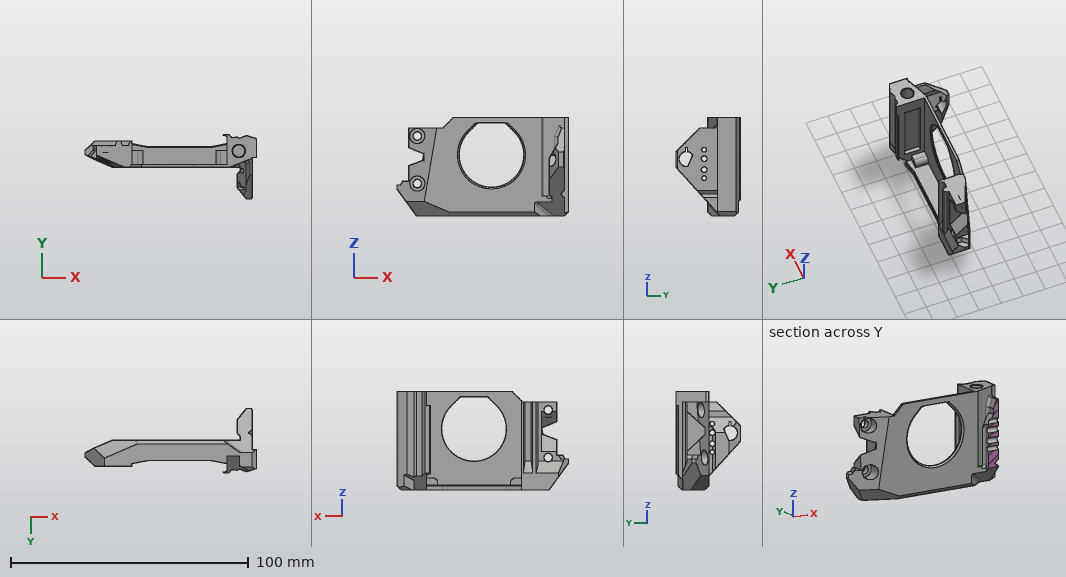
import cadquery as cq
import math

length = 72.3
height = 41.6
plate_thickness = 1.15
bottom_chamfer = 1.7
far = 144.6

mount_top = 37.1
mount_right = 19.8
mount_rear = 11.05
toe_bottom = 8.25
mount_left = 5.0
rear_step = 9.1
toe_height = 14.7
toe_rear_start = 7.1
toe_rear_bevel = 4.3
mount_slope = 0.43
fold_base = 10.5
fold_lean = 0.17
corner_fold = (21.8, 0.0, bottom_chamfer)
corner_fold_z = 6.15

screw_x = 8.6
screw_heights = (13.65, 33.7)
screw_diameter = 3.5
counterbore_diameter = 6.35
counterbore_floor = 6.15

window_x = 39.8
window_z = 25.7
window_radius = 13.6
window_bevel = 0.7
window_top = 39.2

hinge_left = 59.8
hinge_front = 4.05
ramp_start = 61.1
step_x = 70.5
ramp_rear = 3.8
ramp_bottom = 8.45
hinge_rear = 13.9
lip_top = 35.6
lip_bottom = 7.15

fin_reach = 13.4
fin_top = 37.1
fin_thick_top = 24.3
groove_x = 64.2
groove_y = 0.0
groove_radius = 1.15
groove_top = 27.5
fin_thick_left = 64.05
underside_z = 5.85
underside_slope = 1.1


def outline_xz(points, y_start, y_end):
    """Prism with an X-Z outline between two Y positions."""
    return cq.Workplane("XZ", origin=(0, y_start, 0)).polyline(points).close().extrude(y_start - y_end)


def outline_xy(points, z_start, z_end):
    """Prism with an X-Y outline between two Z positions."""
    return cq.Workplane("XY", origin=(0, 0, z_start)).polyline(points).close().extrude(z_end - z_start)


def outline_yz(points, x_start, x_end):
    """Prism with a Y-Z outline between two X positions."""
    return cq.Workplane("YZ", origin=(x_start, 0, 0)).polyline(points).close().extrude(x_end - x_start)


def box(x_range, y_range, z_range):
    """Axis-aligned block from its three ranges."""
    sizes = [b - a for a, b in (x_range, y_range, z_range)]
    corner = (x_range[0], y_range[0], z_range[0])
    return cq.Workplane("XY", origin=corner).box(*sizes, centered=False)


def half_space(p, q, r):
    """Large block on the side of plane p-q-r that (q - p) x (r - p) points to."""
    a = cq.Vector(*q) - cq.Vector(*p)
    b = cq.Vector(*r) - cq.Vector(*p)
    plane = cq.Plane(origin=p, xDir=a.toTuple(), normal=a.cross(b).toTuple())
    return cq.Workplane(plane).rect(far, far).extrude(far)


def cylinder_y(x, z, diameter, y_start, y_end):
    """Round bar along Y."""
    return cq.Workplane("XZ", origin=(x, y_start, z)).circle(diameter / 2).extrude(y_start - y_end)


def fold_x(z):
    return fold_base + fold_lean * z


def make_plate():
    shoulder_x = 19.4
    outline = [
        (shoulder_x, 0), (length, 0), (length, height),
        (shoulder_x + height - mount_top, height), (shoulder_x, mount_top),
    ]
    return outline_xz(outline, 0, plate_thickness)


def teardrop(radius):
    """Round window with 45 degree sides rising to a flat top."""
    tangent = radius * math.sqrt(0.5)
    flat = radius * math.sqrt(2) - (window_top - window_z)
    return (
        cq.Workplane("XZ", origin=(window_x, 0, window_z))
        .moveTo(tangent, tangent)
        .lineTo(flat, window_top - window_z)
        .lineTo(-flat, window_top - window_z)
        .lineTo(-tangent, tangent)
        .threePointArc((0, -radius), (tangent, tangent))
        .close()
    )


def make_window():
    through = teardrop(window_radius).extrude(-plate_thickness)
    flare = teardrop(window_radius + window_bevel).extrude(-window_bevel, taper=45)
    top_limit = box((0, length), (0, plate_thickness), (0, window_top))
    return through.union(flare.intersect(top_limit))


def make_floor():
    floor_thickness = 2.2
    floor_rear = 8.7
    end_rear = 10.0
    rear_bevel = 0.35
    taper_length = 6.65
    outline = [
        (mount_right, 0), (hinge_left, 0), (hinge_left, end_rear), (hinge_left - taper_length, floor_rear),
        (mount_right + taper_length, floor_rear), (mount_right, end_rear),
    ]
    floor = outline_xy(outline, 0, floor_thickness)
    rear_edges = cq.selectors.BoxSelector(
        (mount_right + 0.7, floor_rear - 0.1, floor_thickness - 0.1),
        (hinge_left - 0.7, end_rear, floor_thickness + 0.1),
    )
    floor = floor.edges(rear_edges).chamfer(rear_bevel)
    pad_length = 4.7
    pad_radius = 2.1
    pad_height = 5.05
    pad_rear = 7.1
    left = box((mount_right, mount_right + pad_length), (0, pad_rear), (0, pad_height))
    right = box((hinge_left - pad_length, hinge_left), (0, pad_rear), (0, pad_height))
    left = left.edges(">X and >Z").fillet(pad_radius)
    right = right.edges("<X and >Z").fillet(pad_radius)
    return floor.union(left).union(right)


def make_mount():
    side = [
        (toe_bottom, 0), (mount_right, 0), (mount_right, mount_top), (mount_left, mount_top),
        (mount_left, toe_height), (0, toe_height), (0, 11.35),
    ]
    block = outline_xz(side, 0, mount_rear)
    corner = [(0, toe_rear_start), (toe_rear_bevel, mount_rear), (0, mount_rear)]
    block = block.cut(outline_xy(corner, 0, mount_top))

    shelf_z = 13.15
    shelf_lean = 34.0
    shelf_plan = [(1.3, 4.7), (3.3, 7.2), (3.3, far), (-far, far), (-far, -far), (1.3, -far)]
    shelf = cq.Workplane("XY", origin=(0, 0, shelf_z)).polyline(shelf_plan).close()
    block = block.cut(shelf.extrude(toe_height - shelf_z, taper=-shelf_lean))

    recess_section = [
        (rear_step, mount_top), (rear_step, 12.3), (mount_rear, 7.2), (mount_rear, mount_top),
    ]
    thin_plan = [(0, rear_step), (12.95, rear_step), (12.95, 9.8), (13.65, mount_rear), (0, mount_rear)]
    pocket_plan = [(15.75, rear_step), (18.35, rear_step), (19.1, mount_rear), (15.1, mount_rear)]
    recess = outline_yz(recess_section, 0, mount_right)
    for plan in (thin_plan, pocket_plan):
        block = block.cut(recess.intersect(outline_xy(plan, 0, mount_top)))

    notch_floor = 11.4
    notch = [
        (1.6, 26.2), (rear_step, 33.0), (mount_rear, 33.0),
        (mount_rear, 16.3), (rear_step, 16.3), (1.6, 23.4),
    ]
    block = block.cut(outline_yz(notch, 0, notch_floor))

    for z in screw_heights:
        block = block.cut(cylinder_y(screw_x, z, screw_diameter, 0, mount_rear))
        block = block.cut(cylinder_y(screw_x, z, counterbore_diameter, 0, counterbore_floor))
    return block


def make_left_facets():
    """Material removed in front of the leaning left face and below the lower corner facet."""
    fold_low = (fold_x(corner_fold_z), 0, corner_fold_z)
    fold_high = (fold_x(mount_top), 0, mount_top)
    left_low = (0, fold_low[0] * mount_slope, corner_fold_z)
    leaning = half_space(fold_low, fold_high, left_low)
    lower = half_space(fold_low, left_low, corner_fold)
    return leaning, lower


def make_hinge():
    plan = [
        (hinge_left, 0), (length, 0), (length, 11.9), (71.8, 12.2), (68.0, 13.4), (65.1, 12.3),
        (64.05, 12.7), (61.8, 12.5), (hinge_left + 0.7, hinge_rear), (hinge_left, hinge_rear),
    ]
    block = outline_xy(plan, 0, height)
    lip_plan = [(58.1, 13.45), (58.85, 13.45), (hinge_left, 12.9), (hinge_left, hinge_rear), (58.5, hinge_rear)]
    block = block.union(outline_xy(lip_plan, 0, lip_top))

    bevel_plan = [
        (0, 0), (65.1, 0), (65.1, 10.85), (69.2, 13.0), (69.2, hinge_rear), (0, hinge_rear),
    ]
    lip_bevel = [(hinge_rear, lip_bottom), (hinge_rear, 0), (hinge_rear - lip_bottom, 0)]
    block = block.cut(outline_yz(lip_bevel, 0, length).intersect(outline_xy(bevel_plan, 0, lip_bottom)))
    edge_y = 13.1
    edge_z = 1.8
    rear_bevel = [(edge_y, edge_z), (hinge_rear, edge_z), (hinge_rear, 0), (edge_y - edge_z, 0)]
    block = block.cut(outline_yz(rear_bevel, 0, length))
    corner_bevel = 1.9
    corner = [(length, 0), (length, corner_bevel), (length - corner_bevel, 0)]
    block = block.cut(outline_xz(corner, 0, hinge_rear))

    recess_depth = 1.7
    recess_front = 2.9
    recess_back = 10.05
    recess_x = (hinge_left, hinge_left + recess_depth)
    block = block.cut(box(recess_x, (recess_front, recess_back), (lip_bottom, lip_top)))

    bore_x = 64.8
    bore_y = 6.9
    bore_radius = 2.5
    bore_depth = 8.7
    bore_bevel = 0.3
    bore = (
        cq.Workplane("XZ", origin=(bore_x, bore_y, height))
        .polyline([
            (0, 0), (bore_radius + bore_bevel, 0), (bore_radius, -bore_bevel),
            (bore_radius, -bore_depth), (0, -bore_depth),
        ])
        .close()
        .revolve(360, (0, 0), (0, 1))
    )
    return block.cut(bore)


def make_front_ramp():
    """Material removed in front of the hinge block."""
    plan = [(ramp_start, 0), (ramp_start + 0.65, 0.35), (step_x, ramp_rear), (step_x, 0)]
    ramp = outline_xy(plan, ramp_bottom, height)
    step = box((step_x, length), (0, hinge_front), (0, height))
    return ramp.union(step)


def make_lower_recess():
    """Corner removed below the fin, carrying its sloping underside into the body."""
    depth = underside_z / underside_slope
    underside = [(0, 0), (0, underside_z), (depth, 0)]
    recess_left = 58.0
    wall_run = 7.2
    inner_radius = 1.45
    plan = [(recess_left, 0), (recess_left + wall_run, depth), (length, depth), (length, 0)]
    recess = outline_yz(underside, 0, length).intersect(outline_xy(plan, 0, underside_z))
    middle = (recess_left + wall_run / 2, depth / 2, underside_z / 2)
    return recess.edges(cq.selectors.NearestToPointSelector(middle)).fillet(inner_radius)


def make_fin():
    root = ramp_rear
    thin_left = 67.9
    side = [
        (root, fin_top), (-3.25, fin_top), (-fin_reach, 27.05),
        (-fin_reach, underside_z + fin_reach * underside_slope),
        (root, underside_z - root * underside_slope),
    ]
    front = [
        (fin_thick_left, 0), (fin_thick_left, fin_thick_top), (thin_left, 30.8), (thin_left, 33.25),
        (69.4, fin_top), (step_x, fin_top), (step_x, 0),
    ]
    tip_bevel_x = 0.35
    tip_bevel_y = 0.7
    plan = [
        (groove_x, root), (groove_x, groove_y + groove_radius), (groove_x + groove_radius, groove_y),
        (groove_x + groove_radius, -1.6), (fin_thick_left, -2.9), (fin_thick_left, -8.5), (68.0, -fin_reach),
        (step_x - tip_bevel_x, -fin_reach), (step_x, -fin_reach + tip_bevel_y), (step_x, root),
    ]
    fin = outline_yz(side, fin_thick_left, step_x)
    fin = fin.intersect(outline_xz(front, root, -fin_reach))
    fin = fin.intersect(outline_xy(plan, 0, fin_top))
    return fin


def bar_x(y, z, radius):
    """Round bar along X through the fin."""
    return cq.Workplane("YZ", origin=(hinge_left, y, z)).circle(radius).extrude(length - hinge_left)


def make_fin_holes():
    """D-shaped hole with a key slot, and a row of four small holes near the root."""
    hole_y = -8.9
    hole_z = 24.0
    hole_radius = 3.1
    flat_top = (-6.35, 25.5)
    flat_bottom = (-8.4, 21.0)
    hole = bar_x(hole_y, hole_z, hole_radius)
    beyond_flat = [flat_top, (0, flat_top[1]), (0, flat_bottom[1]), flat_bottom]
    hole = hole.cut(outline_yz(beyond_flat, hinge_left, length))
    slot_width = 0.8
    slot_top = 28.85
    slot_sides = (hole_y - slot_width / 2, hole_y + slot_width / 2)
    holes = hole.union(box((hinge_left, length), slot_sides, (hole_z, slot_top)))
    row_y = -1.45
    for z, radius in ((16.0, 0.95), (19.5, 1.15), (24.15, 1.15), (27.9, 0.95)):
        holes = holes.union(bar_x(row_y, z, radius))
    return holes


def make_root_groove():
    """Vertical groove along the fin root with a ball-shaped lower end."""
    bottom = (groove_x, groove_y, ramp_bottom)
    groove = cq.Workplane("XY", origin=bottom).circle(groove_radius).extrude(groove_top - ramp_bottom)
    return groove.union(cq.Workplane("XY", origin=bottom).sphere(groove_radius))


def make_edge_nick():
    """Small V-nick in the right edge of the fin underside."""
    nick_z = 9.3
    nick_depth = 1.5
    nick = [(step_x, nick_z - nick_depth), (step_x - nick_depth, nick_z), (step_x, nick_z + nick_depth)]
    return outline_xz(nick, hinge_front, -fin_reach / 2)


def make_front_bevel():
    bevel = [(0, 0), (bottom_chamfer, 0), (0, bottom_chamfer)]
    return outline_yz(bevel, 0, length)


result = make_plate().cut(make_window()).union(make_floor()).union(make_mount()).union(make_hinge())
for facet in make_left_facets():
    result = result.cut(facet)
result = result.cut(make_front_bevel()).cut(make_front_ramp()).cut(make_lower_recess())
result = result.union(make_fin())
blend_radius = 1.1
margin = 0.1
blend_low = (fin_thick_left, 0.7, groove_top + 0.7)
blend_high = (step_x - margin, ramp_rear - margin, fin_top + margin)
blend_zone = cq.selectors.BoxSelector(blend_low, blend_high)
result = result.edges(blend_zone).fillet(blend_radius)
result = result.cut(make_root_groove()).cut(make_fin_holes()).cut(make_edge_nick())